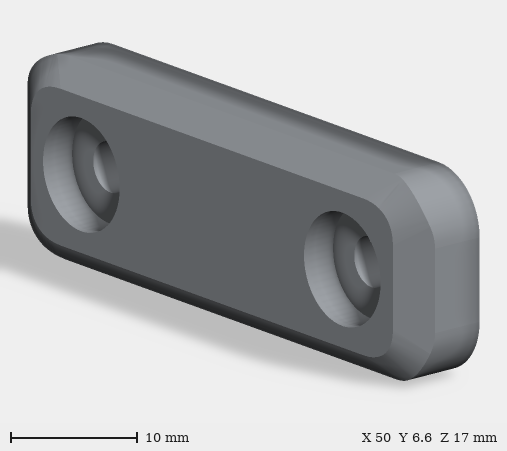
import cadquery as cq

length = 50.0
thickness = 6.6
height = 17.0
corner_radius = 5.0

bevel_depth = 2.0
end_inset = 2.8
side_inset = 2.0

hole_spacing = 32.0
hole_diameter = 4.2
counterbore_diameter = 9.4
counterbore_depth = 3.0


def rounded_plate():
    """Full-thickness plate with its front face on the XZ plane."""
    plate = cq.Workplane("XZ").rect(length, height).extrude(-thickness)
    return plate.edges("|Y").fillet(corner_radius)


def bevel_envelope():
    """Block that widens from the front face along the border slopes, past the plate's sides.

    Its slanted corner edges have the same rounding radius as the plate's straight ones.
    """
    front_length = length - 2 * end_inset
    front_height = height - 2 * side_inset
    back_length = front_length + 2 * end_inset * thickness / bevel_depth
    back_height = front_height + 2 * side_inset * thickness / bevel_depth
    envelope = (
        cq.Workplane("XZ")
        .rect(front_length, front_height)
        .workplane(offset=-thickness)
        .rect(back_length, back_height)
        .loft(ruled=True)
    )
    return envelope.edges("not(#Y)").fillet(corner_radius)


def add_screw_holes(body):
    return (
        body.faces("<Y")
        .workplane(origin=(0, 0, 0))
        .pushPoints([(-hole_spacing / 2, 0), (hole_spacing / 2, 0)])
        .cboreHole(hole_diameter, counterbore_diameter, counterbore_depth)
    )


result = add_screw_holes(rounded_plate().intersect(bevel_envelope()))